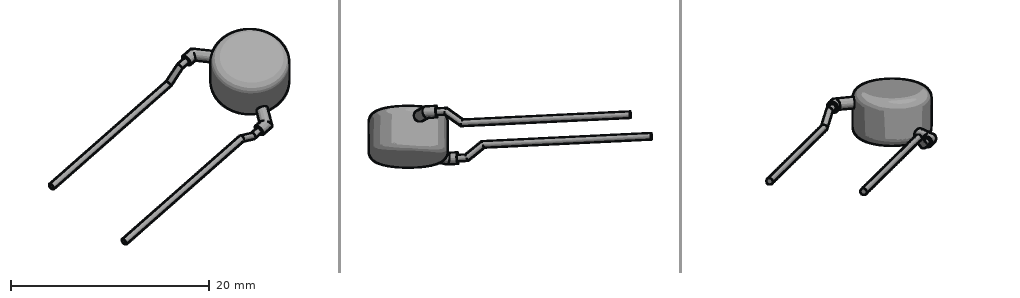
import cadquery as cq
import math

HOUSING_DIAMETER = 8.0
HOUSING_HEIGHT = 5.0
RIM_RADIUS = 1.0

LEAD_PITCH = 10.0
LEAD_DIAMETER = 0.7
SLEEVE_DIAMETER = 1.2
ROOT_HEIGHT = 1.3
ROOT_ANGLE = 35.0
ELBOW_Y = -3.0
CRANK_START_Y = -4.95
CRANK_END_Y = -6.65
OVERALL_LENGTH = 28.0

HOUSING_RADIUS = HOUSING_DIAMETER / 2
SLEEVE_MOUTH_Y = -HOUSING_RADIUS
LEAD_TIP_Y = HOUSING_RADIUS - OVERALL_LENGTH
ELBOW_X = -LEAD_PITCH / 2

ROOT_X = math.cos(math.radians(ROOT_ANGLE))
ROOT_Y = math.sin(math.radians(ROOT_ANGLE))
ROOT_DEPTH = -(ELBOW_X * ROOT_X + ELBOW_Y * ROOT_Y)
AXIS_OFFSET = abs(ELBOW_X * ROOT_Y - ELBOW_Y * ROOT_X)
WALL_DISTANCE = ROOT_DEPTH - math.sqrt(HOUSING_RADIUS**2 - AXIS_OFFSET**2)

LEAD_TURNS = (0, 180)


def root_point(distance):
    """Point on the left root axis, at a distance from the elbow."""
    return (ELBOW_X + distance * ROOT_X, ELBOW_Y + distance * ROOT_Y, ROOT_HEIGHT)


def round_bar(points, diameter, turn):
    """Round bar with mitred bends along the points, turned about the Y axis."""
    start = cq.Vector(*points[0])
    direction = cq.Vector(*points[1]) - start
    path = cq.Workplane("XY").polyline(points)
    section = cq.Workplane(cq.Plane(origin=start, normal=direction)).circle(diameter / 2)
    bar = section.sweep(path, transition="right")
    return bar.rotate((0, 0, 0), (0, 1, 0), turn)


def make_lead(turn):
    """Lead from the housing wall, through its sleeve and crank, to the tip."""
    points = [
        root_point(WALL_DISTANCE),
        root_point(0),
        (ELBOW_X, CRANK_START_Y, ROOT_HEIGHT),
        (ELBOW_X, CRANK_END_Y, 0),
        (ELBOW_X, LEAD_TIP_Y, 0),
    ]
    return round_bar(points, LEAD_DIAMETER, turn)


def make_sleeve(turn):
    """Solid sleeve, rooted inside the housing to merge with it."""
    points = [
        root_point(ROOT_DEPTH),
        root_point(0),
        (ELBOW_X, SLEEVE_MOUTH_Y, ROOT_HEIGHT),
    ]
    return round_bar(points, SLEEVE_DIAMETER, turn)


def make_housing(leads):
    """Rounded disc with its two sleeves, bored to take the leads."""
    housing = cq.Workplane("XY").cylinder(HOUSING_HEIGHT, HOUSING_RADIUS)
    housing = housing.edges("<Z or >Z").fillet(RIM_RADIUS)
    for turn in LEAD_TURNS:
        housing = housing.union(make_sleeve(turn))
    for lead in leads:
        housing = housing.cut(lead)
    return housing


leads = [make_lead(turn) for turn in LEAD_TURNS]
housing = make_housing(leads)

result = cq.Compound.makeCompound([housing.solids().val(), *[lead.val() for lead in leads]])